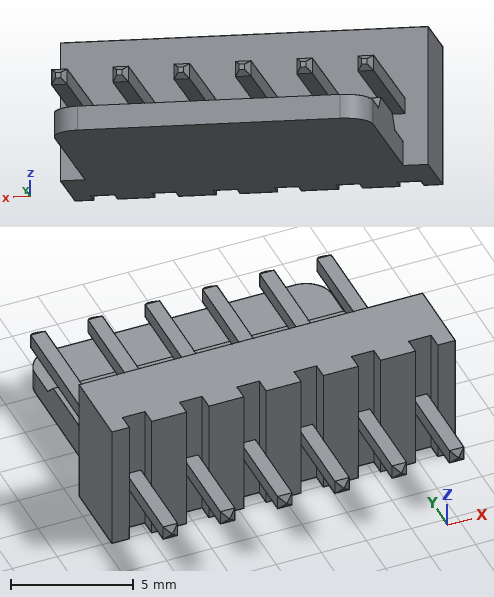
import cadquery as cq

pin_count = 6
body_length = 15.24
body_depth = 3.38
body_height = 5.8
pitch = body_length / pin_count

slot_width = 0.99
slot_depth = 0.7

pin_size = 0.64
pin_height = 2.5
front_reach = 3.3
front_tip_length = 0.21
back_reach = 7.53
back_tip_length = 0.3
back_tip_size = 0.23

tongue_length = 8.11
tongue_thickness = 1.0
tongue_corner_radius = 1.16
tongue_width = 13.18

ridge_top = 1.58
ridge_near_foot = 1.92
ridge_near_crest = 2.51
ridge_far_crest = 5.07
ridge_far_foot = 5.65

body_front = -body_depth
pin_positions = [(i - (pin_count - 1) / 2) * pitch for i in range(pin_count)]


def make_body():
    """Block with a full-height slot in its front face at every pin."""
    body = cq.Workplane("XY").box(body_length, body_depth, body_height, centered=(True, False, False))
    body = body.translate((0, body_front, 0))
    slot = cq.Workplane("XY").box(slot_width, slot_depth, body_height, centered=(True, False, False))
    for x in pin_positions:
        body = body.cut(slot.translate((x, body_front, 0)))
    return body


def make_tongue():
    """Plate behind the body with a raised locking ridge and rounded far corners."""
    profile = [
        (0, 0),
        (tongue_length, 0),
        (tongue_length, tongue_thickness),
        (ridge_far_foot, tongue_thickness),
        (ridge_far_crest, ridge_top),
        (ridge_near_crest, ridge_top),
        (ridge_near_foot, tongue_thickness),
        (0, tongue_thickness),
    ]
    tongue = cq.Workplane("YZ").polyline(profile).close().extrude(tongue_width / 2, both=True)
    return tongue.edges("|Z and >Y").fillet(tongue_corner_radius)


def make_front_tip(base_y):
    """Pyramid that closes the front end of a pin, with its base at base_y."""
    half = pin_size / 2
    apex = cq.Vector(0, base_y - front_tip_length, 0)
    corners = [
        cq.Vector(-half, base_y, -half),
        cq.Vector(half, base_y, -half),
        cq.Vector(half, base_y, half),
        cq.Vector(-half, base_y, half),
    ]
    outlines = [corners]
    for i in range(len(corners)):
        outlines.append([corners[i - 1], corners[i], apex])
    faces = [cq.Face.makeFromWires(cq.Wire.makePolygon(points, close=True)) for points in outlines]
    return cq.Solid.makeSolid(cq.Shell.makeShell(faces))


def make_pin():
    """Square pin on the Y axis with a pyramid in front and a blunt taper behind."""
    shaft_front = body_front - front_reach + front_tip_length
    shaft_back = back_reach - back_tip_length
    shaft = cq.Workplane("XY").box(pin_size, shaft_back - shaft_front, pin_size, centered=(True, False, True))
    shaft = shaft.translate((0, shaft_front, 0))
    back_tip = (
        cq.Workplane("XZ", origin=(0, shaft_back, 0))
        .rect(pin_size, pin_size)
        .workplane(offset=-back_tip_length)
        .rect(back_tip_size, back_tip_size)
        .loft(ruled=True)
    )
    return shaft.union(back_tip).union(cq.Workplane(make_front_tip(shaft_front)))


result = make_body().union(make_tongue())
pin = make_pin()
for x in pin_positions:
    result = result.union(pin.translate((x, 0, pin_height)))